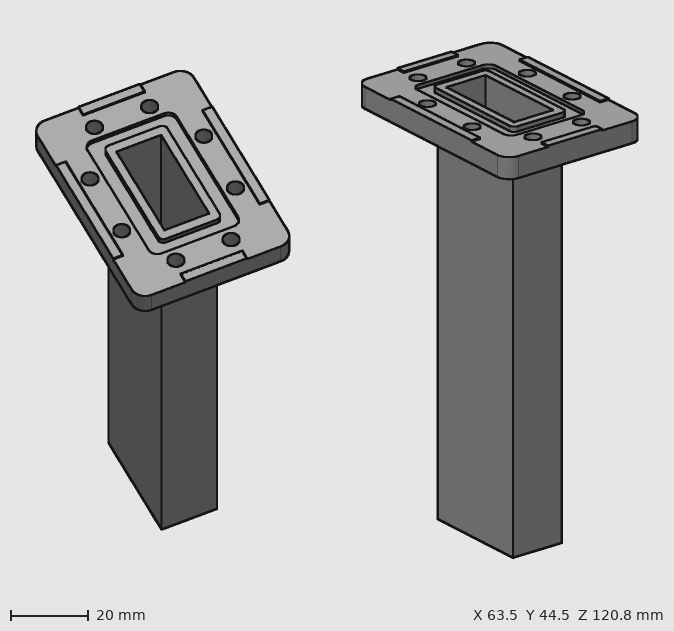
import cadquery as cq

total_height = 120.8
flange_length = 63.5
flange_width = 44.5
flange_thickness = 6.5
flange_corner_radius = 3.9

pad_height = 0.4
pad_depth = 2.8
rim_length = 34.0
rim_width = 17.5
rim_corner_radius = 1.5

groove_length = 41.1
groove_width = 25.4
groove_corner_radius = 2.4
groove_depth = 1.1

tube_length = 31.7
tube_width = 15.8
bore_length = 28.5
bore_width = 12.7
end_wall = (tube_width - bore_width) / 2

bolt_diameter = 4.4
long_side_bolt_x = 9.4
long_side_bolt_y = 16.2
short_side_bolt_x = 24.2
short_side_bolt_y = 7.9

flange_top = total_height - pad_height
flange_bottom = total_height - flange_thickness


def block(length, width, bottom, top, corner_radius=0):
    """Centred upright block, optionally with rounded vertical edges."""
    body = cq.Workplane("XY").workplane(offset=bottom).rect(length, width).extrude(top - bottom)
    if corner_radius:
        body = body.edges("|Z").fillet(corner_radius)
    return body


def edge_pads():
    """Four low pads, one at the middle of each flange edge."""
    pads = cq.Workplane("XY")
    pad_x = (flange_length - pad_depth) / 2
    pad_y = (flange_width - pad_depth) / 2
    for side in (-1, 1):
        long_pad = block(rim_length, pad_depth, flange_bottom, total_height)
        short_pad = block(pad_depth, rim_width, flange_bottom, total_height)
        pads = pads.add(long_pad.translate((0, side * pad_y, 0)))
        pads = pads.add(short_pad.translate((side * pad_x, 0, 0)))
    return pads.combine()


def bolt_holes():
    """Cylinders for the eight through holes in the flange."""
    points = []
    for side_x in (-1, 1):
        for side_y in (-1, 1):
            points.append((side_x * long_side_bolt_x, side_y * long_side_bolt_y))
            points.append((side_x * short_side_bolt_x, side_y * short_side_bolt_y))
    plane = cq.Workplane("XY").workplane(offset=flange_bottom)
    return plane.pushPoints(points).circle(bolt_diameter / 2).extrude(flange_thickness)


flange = block(flange_length, flange_width, flange_bottom, flange_top, flange_corner_radius)
groove = block(groove_length, groove_width, flange_top - groove_depth, total_height, groove_corner_radius)
rim = block(rim_length, rim_width, flange_bottom, total_height, rim_corner_radius)
tube = block(tube_length, tube_width, 0, flange_bottom)
bore = block(bore_length, bore_width, end_wall, total_height)

result = flange.union(edge_pads()).cut(groove).union(rim).union(tube).cut(bore).cut(bolt_holes())